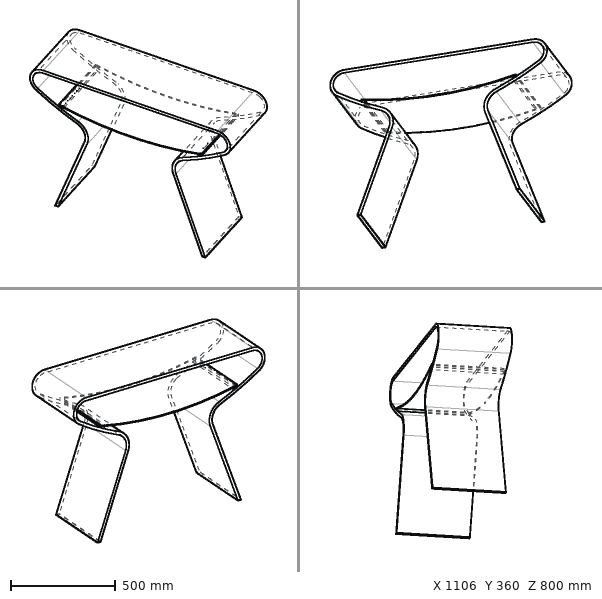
import cadquery as cq
import math

LENGTH = 1106.0
DEPTH = 360.0
HEIGHT = 800.0

THICKNESS = 17.0
LOOP_RADIUS = 73.0
KNEE_RADIUS = 93.0
KNEE_X = 324.0
KNEE_Z = 478.0
FLANK_RADIUS = 1437.0
FOOT_X = 406.0

PAD_HEIGHT = 2.0

SHELF_HALF = 394.0
SHELF_END_Z = 626.0
SHELF_SAG = 42.0
SHELF_THICKNESS = 5.0
CLEAT_WIDTH = 19.0

HALF_THICKNESS = THICKNESS / 2
LOOP_MID = LOOP_RADIUS - HALF_THICKNESS
KNEE_MID = KNEE_RADIUS - HALF_THICKNESS
LOOP_CENTRE = (LENGTH / 2 - LOOP_RADIUS, HEIGHT - LOOP_RADIUS)
KNEE_CENTRE = (KNEE_X, KNEE_Z)


def direction(start, end):
    """Angle of the line from start to end, in radians."""
    return math.atan2(end[1] - start[1], end[0] - start[0])


def polar(centre, radius, angle):
    """Point at the given radius and angle about a centre."""
    return (centre[0] + radius * math.cos(angle), centre[1] + radius * math.sin(angle))


def flank_centre():
    """Centre of the arc that holds the loop inside it and touches the knee outside it."""
    to_loop = FLANK_RADIUS - LOOP_MID
    to_knee = FLANK_RADIUS + KNEE_MID
    span = math.dist(KNEE_CENTRE, LOOP_CENTRE)
    cosine = (span**2 + to_knee**2 - to_loop**2) / (2 * span * to_knee)
    angle = direction(KNEE_CENTRE, LOOP_CENTRE) + math.acos(cosine)
    return polar(KNEE_CENTRE, to_knee, angle)


FLANK_CENTRE = flank_centre()
LOOP_END = direction(FLANK_CENTRE, LOOP_CENTRE)
KNEE_START = direction(KNEE_CENTRE, FLANK_CENTRE)

FOOT = (FOOT_X, 0.0)
TANGENT_TURN = math.acos(KNEE_MID / math.dist(KNEE_CENTRE, FOOT))
KNEE_END = direction(KNEE_CENTRE, FOOT) - TANGENT_TURN + 2 * math.pi
LEG_ANGLE = KNEE_END + math.pi / 2


def band_side(offset):
    """Points along one face of the +X half: outside (+) or inside (-) of its middle line."""
    loop = LOOP_MID + offset
    flank = FLANK_RADIUS + offset
    knee = KNEE_MID - offset
    knee_exit = polar(KNEE_CENTRE, knee, KNEE_END)
    foot_x = knee_exit[0] - knee_exit[1] / math.tan(LEG_ANGLE)
    flank_middle = (LOOP_END + KNEE_START - math.pi) / 2
    return {
        "top": (LOOP_CENTRE[0], LOOP_CENTRE[1] + loop),
        "loop_middle": polar(LOOP_CENTRE, loop, (LOOP_END + math.pi / 2) / 2),
        "loop_end": polar(LOOP_CENTRE, loop, LOOP_END),
        "flank_middle": polar(FLANK_CENTRE, flank, flank_middle),
        "knee_start": polar(KNEE_CENTRE, knee, KNEE_START),
        "knee_middle": polar(KNEE_CENTRE, knee, (KNEE_START + KNEE_END) / 2),
        "knee_end": knee_exit,
        "foot": (foot_x, 0.0),
        "pad_top": (foot_x + PAD_HEIGHT / math.tan(LEG_ANGLE), PAD_HEIGHT),
    }


OUTER = band_side(HALF_THICKNESS)
INNER = band_side(-HALF_THICKNESS)


def extrude_depth(profile):
    """Closed XZ profile extruded to the full depth, centred on Y = 0."""
    return profile.close().extrude(DEPTH / 2, both=True)


def make_band():
    outer, inner = OUTER, INNER
    half = extrude_depth(
        cq.Workplane("XZ")
        .moveTo(0, HEIGHT)
        .lineTo(*outer["top"])
        .threePointArc(outer["loop_middle"], outer["loop_end"])
        .threePointArc(outer["flank_middle"], outer["knee_start"])
        .threePointArc(outer["knee_middle"], outer["knee_end"])
        .lineTo(*outer["pad_top"])
        .lineTo(*inner["pad_top"])
        .lineTo(*inner["knee_end"])
        .threePointArc(inner["knee_middle"], inner["knee_start"])
        .threePointArc(inner["flank_middle"], inner["loop_end"])
        .threePointArc(inner["loop_middle"], inner["top"])
        .lineTo(0, HEIGHT - THICKNESS)
    )
    return half.union(half.mirror("YZ")).clean()


def make_shelf():
    end_bottom = SHELF_END_Z - SHELF_THICKNESS
    return extrude_depth(
        cq.Workplane("XZ")
        .moveTo(-SHELF_HALF, SHELF_END_Z)
        .threePointArc((0, SHELF_END_Z - SHELF_SAG), (SHELF_HALF, SHELF_END_Z))
        .lineTo(SHELF_HALF, end_bottom)
        .threePointArc((0, end_bottom - SHELF_SAG), (-SHELF_HALF, end_bottom))
    )


def make_cleat(side, band, shelf):
    """Strip filling the gap between the shelf end and the band; side is +1 or -1."""
    top = SHELF_END_Z - SHELF_THICKNESS
    bottom = OUTER["knee_start"][1]
    blank = (
        cq.Workplane("XY")
        .box(CLEAT_WIDTH, DEPTH, top - bottom, centered=(True, True, False))
        .translate((side * (SHELF_HALF - CLEAT_WIDTH / 2), 0, bottom))
    )
    return blank.cut(shelf).cut(band).solids(">Z").val()


def make_pad(side):
    """Thin foot that continues the leg down to the floor; side is +1 or -1."""
    corners = [OUTER["foot"], OUTER["pad_top"], INNER["pad_top"], INNER["foot"]]
    outline = [(side * x, z) for x, z in corners]
    return extrude_depth(cq.Workplane("XZ").polyline(outline)).val()


SIDES = (-1, 1)
band = make_band()
shelf = make_shelf()
cleats = [make_cleat(side, band, shelf) for side in SIDES]
pads = [make_pad(side) for side in SIDES]

result = cq.Compound.makeCompound([band.val(), shelf.val(), *cleats, *pads])